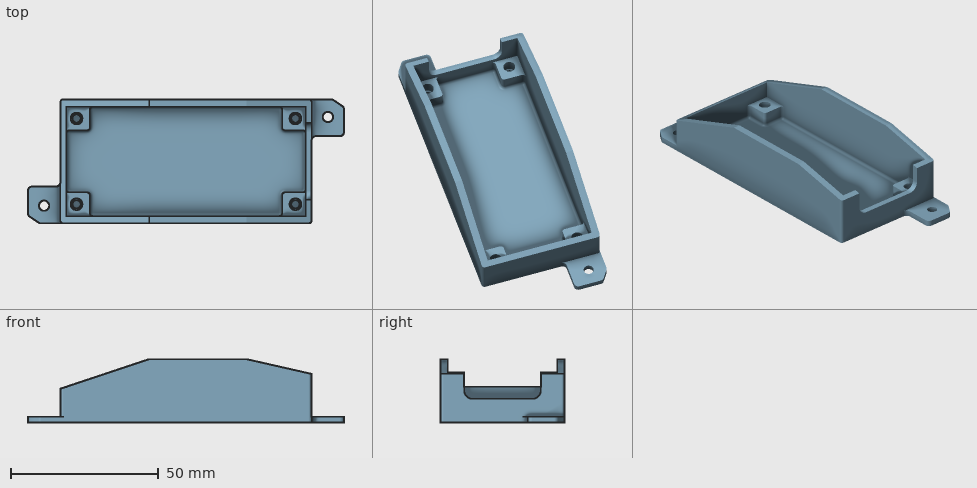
import cadquery as cq

TRAY_LENGTH = 85.0
TRAY_WIDTH = 42.0
TRAY_HEIGHT = 21.5
CORNER_RADIUS = 1.0
END_WALL = 2.0
SIDE_WALL = 2.5
FLOOR = 1.5

LEFT_END_HEIGHT = 11.5
LEFT_SLOPE_LENGTH = 30.0
RIGHT_END_HEIGHT = 16.5
RIGHT_SLOPE_LENGTH = 22.0

BOSS_SIDE = 8.0
BOSS_HEIGHT = 5.0
INNER_FILLET = 1.0
SCREW_INSET_X = 3.5
SCREW_INSET_Y = 4.0
INSERT_DIAMETER = 4.0
INSERT_DEPTH = 4.0
PILOT_DIAMETER = 2.8

NOTCH_WIDTH = 26.0
NOTCH_BOTTOM = 8.0
NOTCH_RADIUS = 3.0

LUG_LENGTH = 11.0
LUG_WIDTH = 12.5
LUG_ROOT_WIDTH = 15.0
LUG_ROOT_DEPTH = CORNER_RADIUS
LUG_THICKNESS = 2.0
LUG_RADIUS = 1.5
LUG_CUT_X = 4.0
LUG_CUT_Y = 2.7
LUG_HOLE_DIAMETER = 3.4
LUG_HOLE_INSET_X = 5.5
LUG_HOLE_INSET_Y = 6.0

CENTER_X = TRAY_LENGTH / 2
CENTER_Y = TRAY_WIDTH / 2
CAVITY_LENGTH = TRAY_LENGTH - 2 * END_WALL
CAVITY_WIDTH = TRAY_WIDTH - 2 * SIDE_WALL
BOSS_TOP = FLOOR + BOSS_HEIGHT


def centered_box(length, width, bottom, top):
    """A box centred on the tray in X and Y, spanning two heights."""
    return (
        cq.Workplane("XY")
        .workplane(offset=bottom)
        .center(CENTER_X, CENTER_Y)
        .rect(length, width)
        .extrude(top - bottom)
    )


def tray_block():
    """Solid tray with the sloped rim and rounded upright corners."""
    side_profile = [
        (0, 0),
        (TRAY_LENGTH, 0),
        (TRAY_LENGTH, RIGHT_END_HEIGHT),
        (TRAY_LENGTH - RIGHT_SLOPE_LENGTH, TRAY_HEIGHT),
        (LEFT_SLOPE_LENGTH, TRAY_HEIGHT),
        (0, LEFT_END_HEIGHT),
    ]
    block = cq.Workplane("XZ").polyline(side_profile).close().extrude(-TRAY_WIDTH)
    return block.edges("|Z").fillet(CORNER_RADIUS)


def cavity():
    """Open space inside the tray, leaving a boss in each corner."""
    lower_lengthwise = centered_box(CAVITY_LENGTH, CAVITY_WIDTH - 2 * BOSS_SIDE, FLOOR, BOSS_TOP)
    lower_crosswise = centered_box(CAVITY_LENGTH - 2 * BOSS_SIDE, CAVITY_WIDTH, FLOOR, BOSS_TOP)
    lower = lower_lengthwise.union(lower_crosswise)
    lower = lower.edges("|Z").fillet(INNER_FILLET)
    lower = lower.faces("<Z").edges().fillet(INNER_FILLET)
    upper = centered_box(CAVITY_LENGTH, CAVITY_WIDTH, BOSS_TOP, TRAY_HEIGHT)
    return lower.union(upper)


def boss_holes():
    """Stepped blind holes, one in each corner boss."""
    spacing_x = CAVITY_LENGTH - 2 * SCREW_INSET_X
    spacing_y = CAVITY_WIDTH - 2 * SCREW_INSET_Y
    boss_tops = (
        cq.Workplane("XY")
        .workplane(offset=BOSS_TOP)
        .center(CENTER_X, CENTER_Y)
        .rect(spacing_x, spacing_y, forConstruction=True)
        .vertices()
    )
    inserts = boss_tops.circle(INSERT_DIAMETER / 2).extrude(-INSERT_DEPTH)
    pilots = boss_tops.circle(PILOT_DIAMETER / 2).extrude(-BOSS_HEIGHT)
    return inserts.union(pilots)


def end_notch():
    """Opening through the +X end wall, rounded at its two lower corners."""
    notch = cq.Workplane("XY").box(END_WALL, NOTCH_WIDTH, TRAY_HEIGHT, centered=(False, True, False))
    notch = notch.edges("|X and <Z").fillet(NOTCH_RADIUS)
    return notch.translate((TRAY_LENGTH - END_WALL, CENTER_Y, NOTCH_BOTTOM))


def left_lug():
    """Mounting lug on the -X end, with a clipped outer corner and a blend into the end wall."""
    outline = [
        (LUG_ROOT_DEPTH, 0),
        (LUG_CUT_X - LUG_LENGTH, 0),
        (-LUG_LENGTH, LUG_CUT_Y),
        (-LUG_LENGTH, LUG_WIDTH),
        (0, LUG_WIDTH),
        (0, LUG_ROOT_WIDTH),
        (LUG_ROOT_DEPTH, LUG_ROOT_WIDTH),
    ]
    lug = cq.Workplane("XY").polyline(outline).close().extrude(LUG_THICKNESS)
    lug = lug.edges("|Z and (not >X) and (not >Y)").fillet(LUG_RADIUS)
    hole = (
        cq.Workplane("XY")
        .center(LUG_HOLE_INSET_X - LUG_LENGTH, LUG_HOLE_INSET_Y)
        .circle(LUG_HOLE_DIAMETER / 2)
        .extrude(LUG_THICKNESS)
    )
    return lug.cut(hole)


def right_lug():
    """The same lug at the diagonally opposite corner."""
    axis_start = (CENTER_X, CENTER_Y, 0)
    axis_end = (CENTER_X, CENTER_Y, 1)
    return left_lug().rotate(axis_start, axis_end, 180)


tray = tray_block().cut(cavity()).cut(end_notch()).cut(boss_holes())
result = tray.union(left_lug()).union(right_lug())